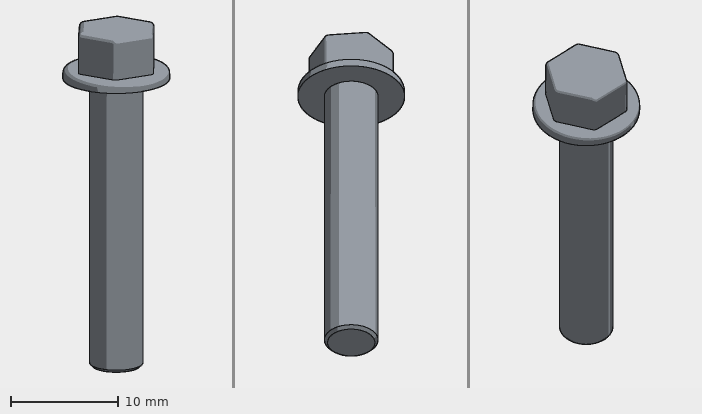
import cadquery as cq
import math

total_length = 33.0
shank_diameter = 5.0
flange_diameter = 10.0
flange_thickness = 1.0
hex_across_flats = 7.0
hex_height = 4.0
edge_radius = 0.5
tip_chamfer = 0.3

shank_length = total_length - flange_thickness - hex_height
hex_across_corners = hex_across_flats / math.cos(math.radians(30))


def make_shank():
    """Plain round shank, chamfered at its lower tip."""
    shank = cq.Workplane("XY").circle(shank_diameter / 2).extrude(shank_length)
    return shank.faces("<Z").edges().chamfer(tip_chamfer)


def make_flange():
    """Round flange with a rounded upper rim."""
    flange = (
        cq.Workplane("XY")
        .workplane(offset=shank_length)
        .circle(flange_diameter / 2)
        .extrude(flange_thickness)
    )
    return flange.faces(">Z").edges().fillet(edge_radius)


def make_hex_head():
    """Hexagonal head, corners along X, with rounded corners and top edges."""
    head = (
        cq.Workplane("XY")
        .workplane(offset=shank_length + flange_thickness)
        .polygon(6, hex_across_corners)
        .extrude(hex_height)
    )
    return head.edges("|Z or >Z").fillet(edge_radius)


result = make_shank().union(make_flange()).union(make_hex_head())